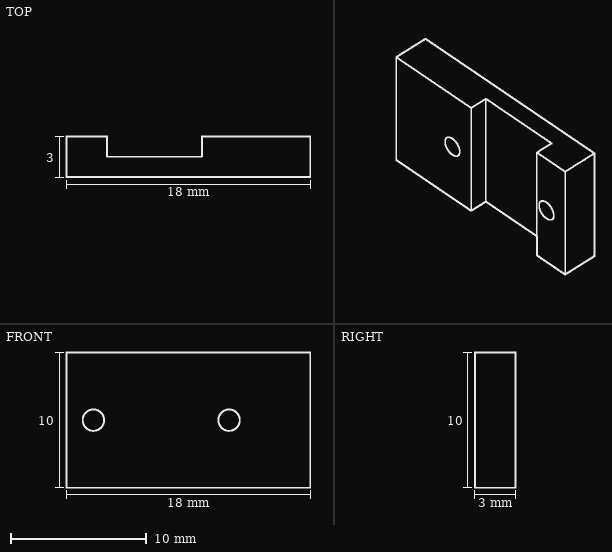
import cadquery as cq

length = 18.0
thickness = 3.0
height = 10.0

channel_start = 3.0
channel_end = 10.0
channel_depth = thickness / 2

hole_diameter = 1.57
first_hole_x = 2.0
hole_spacing = 10.0
hole_positions = [first_hole_x, first_hole_x + hole_spacing]


def make_plate():
    """Plate with its front lower left corner at the origin."""
    return cq.Workplane("XY").box(length, thickness, height, centered=False)


def make_channel():
    """Cutter for the rectangular channel in the back face."""
    return (
        cq.Workplane("XY")
        .box(channel_end - channel_start, channel_depth, height, centered=False)
        .translate((channel_start, thickness - channel_depth, 0))
    )


def make_hole(x):
    """Cutter for one hole through the thickness."""
    return (
        cq.Workplane("XZ")
        .center(x, height / 2)
        .circle(hole_diameter / 2)
        .extrude(-thickness)
    )


result = make_plate().cut(make_channel())
for hole_x in hole_positions:
    result = result.cut(make_hole(hole_x))